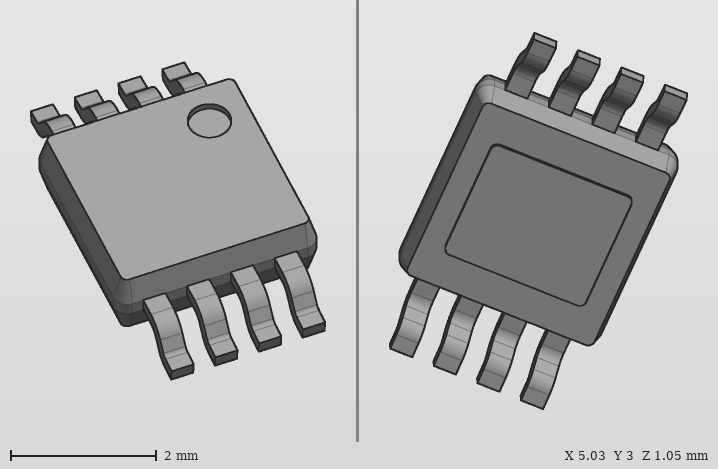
import cadquery as cq
import math


body_size = 3.0
body_height = 1.0
band_height = 0.2
draft_angle = 15.0
body_corner_radius = 0.2
draft_height = (body_height - band_height) / 2
band_bottom = draft_height
band_top = band_bottom + band_height

mark_diameter = 0.6
mark_depth = 0.1
mark_from_edge = 0.7

pad_length_x = 1.76
pad_length_y = 2.1
pad_thickness = 0.05
pad_corner_radius = 0.1

lead_span = 5.03
leads_per_side = 4
lead_pitch = 0.65
lead_width = 0.33
lead_thickness = band_height
shank_length = 0.27
leg_length = 0.2
leg_angle = math.radians(55)
foot_angle = math.radians(5)
shoulder_outer_radius = 0.41
shoulder_inner_radius = shoulder_outer_radius - lead_thickness
ankle_inner_radius = 0.1
ankle_outer_radius = ankle_inner_radius + lead_thickness


def make_body():
    """Square moulding: a straight band with drafted halves above and below, and a round mark on top."""
    outline = cq.Sketch().rect(body_size, body_size).vertices().fillet(body_corner_radius)
    band = cq.Workplane("XY", origin=(0, 0, band_bottom)).placeSketch(outline).extrude(band_height)
    upper = (
        cq.Workplane("XY", origin=(0, 0, band_top))
        .placeSketch(outline)
        .extrude(draft_height, taper=draft_angle)
    )
    lower = upper.mirror("XY", (0, 0, body_height / 2))
    mark_offset = body_size / 2 - mark_from_edge
    mark = (
        cq.Workplane("XY", origin=(-mark_offset, mark_offset, body_height - mark_depth))
        .circle(mark_diameter / 2)
        .extrude(mark_depth)
    )
    return band.union(upper).union(lower).cut(mark)


def make_pad():
    """Thin rounded plate against the underside of the moulding."""
    return (
        cq.Workplane("XY", origin=(0, 0, -pad_thickness))
        .rect(pad_length_x, pad_length_y)
        .extrude(pad_thickness)
        .edges("|Z")
        .fillet(pad_corner_radius)
    )


def shifted(point, distance, slope):
    """Point moved outward and downward along a line that falls at the given slope angle."""
    return (point[0] + distance * math.cos(slope), point[1] - distance * math.sin(slope))


def above(centre, radius, slope):
    """Point on the upper side of an arc where the arc falls at the given slope angle."""
    return (centre[0] + radius * math.sin(slope), centre[1] + radius * math.cos(slope))


def below(centre, radius, slope):
    """Point on the lower side of an arc where the arc falls at the given slope angle."""
    return above(centre, -radius, slope)


def make_lead(y):
    """Gull-wing lead on the +X side: shank, shoulder bend, sloping leg, ankle bend and tilted foot."""
    side = body_size / 2
    shoulder = (side + shank_length, band_top - shoulder_outer_radius)
    leg_top = above(shoulder, shoulder_outer_radius, leg_angle)
    leg_bottom = shifted(leg_top, leg_length, leg_angle)
    ankle = above(leg_bottom, ankle_inner_radius, leg_angle)
    foot_top = below(ankle, ankle_inner_radius, foot_angle)
    foot_length = (lead_span / 2 - foot_top[0]) / math.cos(foot_angle)
    foot_sole = below(ankle, ankle_outer_radius, foot_angle)
    shoulder_middle = leg_angle / 2
    ankle_middle = (leg_angle + foot_angle) / 2

    return (
        cq.Workplane("XZ", origin=(0, y + lead_width / 2, 0))
        .moveTo(side, band_top)
        .lineTo(shoulder[0], band_top)
        .threePointArc(above(shoulder, shoulder_outer_radius, shoulder_middle), leg_top)
        .lineTo(*leg_bottom)
        .threePointArc(below(ankle, ankle_inner_radius, ankle_middle), foot_top)
        .lineTo(*shifted(foot_top, foot_length, foot_angle))
        .lineTo(*shifted(foot_sole, foot_length, foot_angle))
        .lineTo(*foot_sole)
        .threePointArc(
            below(ankle, ankle_outer_radius, ankle_middle),
            below(ankle, ankle_outer_radius, leg_angle),
        )
        .lineTo(*above(shoulder, shoulder_inner_radius, leg_angle))
        .threePointArc(
            above(shoulder, shoulder_inner_radius, shoulder_middle),
            (shoulder[0], band_bottom),
        )
        .lineTo(side, band_bottom)
        .close()
        .extrude(lead_width)
    )


body = make_body()
pad = make_pad()

leads = []
for index in range(leads_per_side):
    lead = make_lead((index - (leads_per_side - 1) / 2) * lead_pitch)
    leads.append(lead.val())
    leads.append(lead.mirror("YZ").val())

result = cq.Compound.makeCompound([body.solids().val(), pad.solids().val(), *leads])